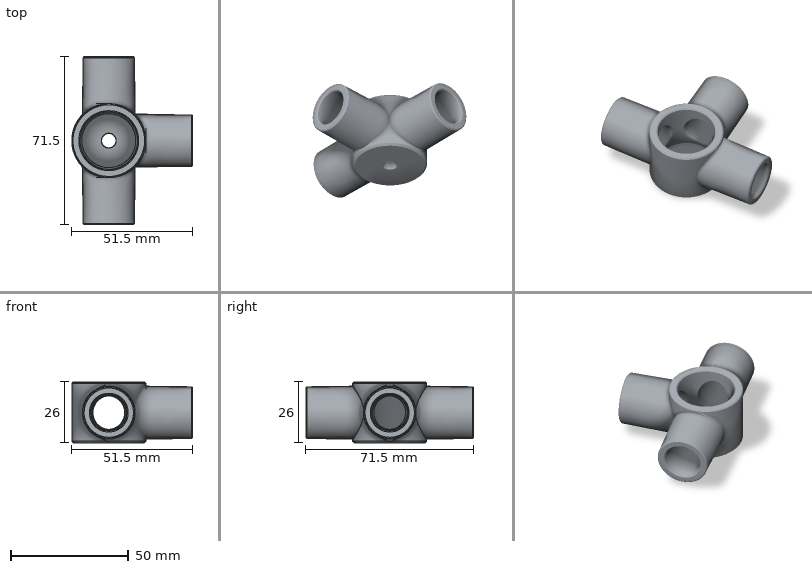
import cadquery as cq

hub_diameter = 31.5
hub_height = 26.0
hub_bore_diameter = 24.5
hub_floor_thickness = 3.0
drain_diameter = 6.15
hub_foot_chamfer = 0.85
hub_floor_chamfer = 0.8

socket_reach = 35.75
socket_root_diameter = 22.5
socket_tip_diameter = 22.0
socket_angles = (0, 90, -90)

throat_centre_diameter = 10.45
bore_root_diameter = 15.0
bore_tip_diameter = 15.5

rim_chamfer = 0.5
junction_fillet = 1.0
throat_fillet = 0.7

hub_radius = hub_diameter / 2
hub_bore_radius = hub_bore_diameter / 2
hub_top = hub_height / 2
hub_bottom = -hub_top
hub_floor = hub_bottom + hub_floor_thickness


def frustum(start, end, start_diameter, end_diameter):
    """Solid around Z whose diameter changes evenly between two heights."""
    return (
        cq.Workplane("XZ")
        .moveTo(0, start)
        .lineTo(start_diameter / 2, start)
        .lineTo(end_diameter / 2, end)
        .lineTo(0, end)
        .close()
        .revolve(360, (0, 0, 0), (0, 1, 0))
    )


def cylinder(start, end, diameter):
    return frustum(start, end, diameter, diameter)


def aim(upright, angle):
    """Lay a solid built along +Z down onto +X, then turn it about the hub axis."""
    laid = upright.rotate((0, 0, 0), (0, 1, 0), 90)
    return laid.rotate((0, 0, 0), (0, 0, 1), angle)


def box_selector(x_range, half_width, half_height):
    """Select edges centred inside a box around the mid-height plane."""
    return cq.selectors.BoxSelector(
        (x_range[0], -half_width, -half_height), (x_range[1], half_width, half_height)
    )


def make_hub():
    hub = cylinder(hub_bottom, hub_top, hub_diameter)
    return hub.faces(">Z").chamfer(rim_chamfer).faces("<Z").chamfer(hub_foot_chamfer)


def make_socket():
    """Straight root inside the hub radius, then a tapered tube with a chamfered tip."""
    root = cylinder(0, hub_radius, socket_root_diameter)
    tube = frustum(hub_radius, socket_reach, socket_root_diameter, socket_tip_diameter)
    return root.union(tube.faces(">Z").chamfer(rim_chamfer))


def make_junction():
    """Fillet wedge between hub and +X socket, cut off flat where the socket taper starts."""
    tall_hub = cylinder(2 * hub_bottom, 2 * hub_top, hub_diameter)
    root = aim(cylinder(0, socket_reach, socket_root_diameter), 0)
    seam = box_selector((0, hub_radius), hub_radius, hub_top)
    filleted = tall_hub.union(root).edges(seam).fillet(junction_fillet)
    keep = cq.Workplane("XY").box(hub_radius, hub_diameter, hub_height, centered=(False, True, True))
    return filleted.intersect(keep).cut(tall_hub)


def make_socket_bore():
    throat = frustum(0, hub_radius, throat_centre_diameter, bore_root_diameter)
    tube = frustum(hub_radius, socket_reach, bore_root_diameter, bore_tip_diameter)
    mouth_diameter = bore_tip_diameter + 2 * rim_chamfer
    mouth = frustum(socket_reach - rim_chamfer, socket_reach, bore_tip_diameter, mouth_diameter)
    return throat.union(tube).union(mouth)


def make_hub_bore():
    bore = cylinder(hub_floor, hub_top, hub_bore_diameter).faces("<Z").chamfer(hub_floor_chamfer)
    mouth_diameter = hub_bore_diameter + 2 * rim_chamfer
    mouth = frustum(hub_top - rim_chamfer, hub_top, hub_bore_diameter, mouth_diameter)
    drain = cylinder(hub_bottom, hub_top, drain_diameter)
    return bore.union(mouth).union(drain)


def make_hollow():
    """All inner space, with the edges where the throats enter the hub bore rounded."""
    hollow = make_hub_bore()
    for angle in socket_angles:
        hollow = hollow.union(aim(make_socket_bore(), angle))
    throat_edges = box_selector((-hub_bore_radius, hub_bore_radius), hub_bore_radius, bore_root_diameter / 2)
    return hollow.edges(throat_edges).fillet(throat_fillet)


back_half = cq.Workplane("XY").box(hub_radius, hub_diameter, hub_height).translate((-hub_radius / 2, 0, 0))
junction = make_junction()

result = make_hub()
for angle in socket_angles:
    turned_junction = junction.rotate((0, 0, 0), (0, 0, 1), angle)
    if angle != 0:
        turned_junction = turned_junction.intersect(back_half)
    result = result.union(aim(make_socket(), angle)).union(turned_junction)
result = result.cut(make_hollow()).solids()